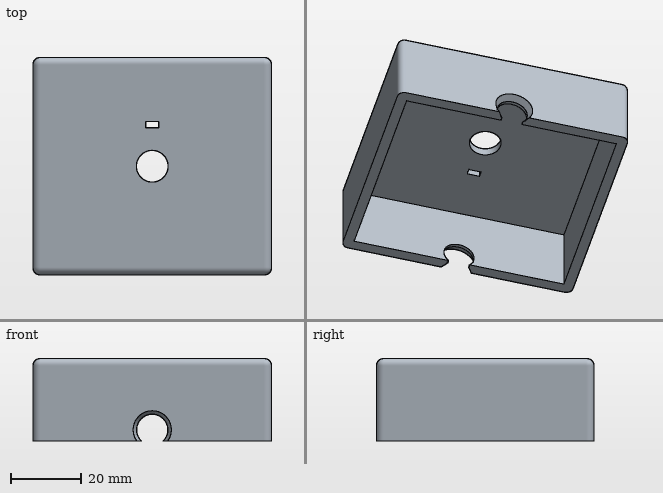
import cadquery as cq

length_x = 68.0
width_y = 62.0
height = 23.5
edge_radius = 2.05
wall = 3.0
top_thickness = 2.65

top_hole_diameter = 9.0

slot_length = 3.6
slot_width = 1.7
slot_center_y = 11.8

cable_diameter = 8.85
cable_center_z = 3.2
flare_width = 1.0
flare_depth = 2.05


def cover_shell():
    """Rounded box hollowed from below, leaving the top and four walls."""
    body = cq.Workplane("XY").box(length_x, width_y, height, centered=(True, True, False))
    body = body.edges("|Z or >Z").fillet(edge_radius)
    cavity = cq.Workplane("XY").box(
        length_x - 2 * wall, width_y - 2 * wall, height - top_thickness, centered=(True, True, False)
    )
    return body.cut(cavity)


def top_openings():
    """Cutters for the round hole and the slot in the top."""
    hole = cq.Workplane("XY").circle(top_hole_diameter / 2).extrude(height)
    slot = cq.Workplane("XY").center(0, slot_center_y).rect(slot_length, slot_width).extrude(height)
    return hole.union(slot)


def cable_opening():
    """Cutter through the front wall: a bore that widens in a cone towards the outside."""
    bore_radius = cable_diameter / 2
    profile = [
        (0, 0),
        (bore_radius + flare_width, 0),
        (bore_radius, flare_depth),
        (bore_radius, wall),
        (0, wall),
    ]
    cutter = cq.Workplane("XY").polyline(profile).close().revolve(360, (0, 0, 0), (0, 1, 0))
    return cutter.translate((0, -width_y / 2, cable_center_z))


front_opening = cable_opening()
back_opening = front_opening.mirror("XZ")

result = cover_shell().cut(top_openings()).cut(front_opening).cut(back_opening)